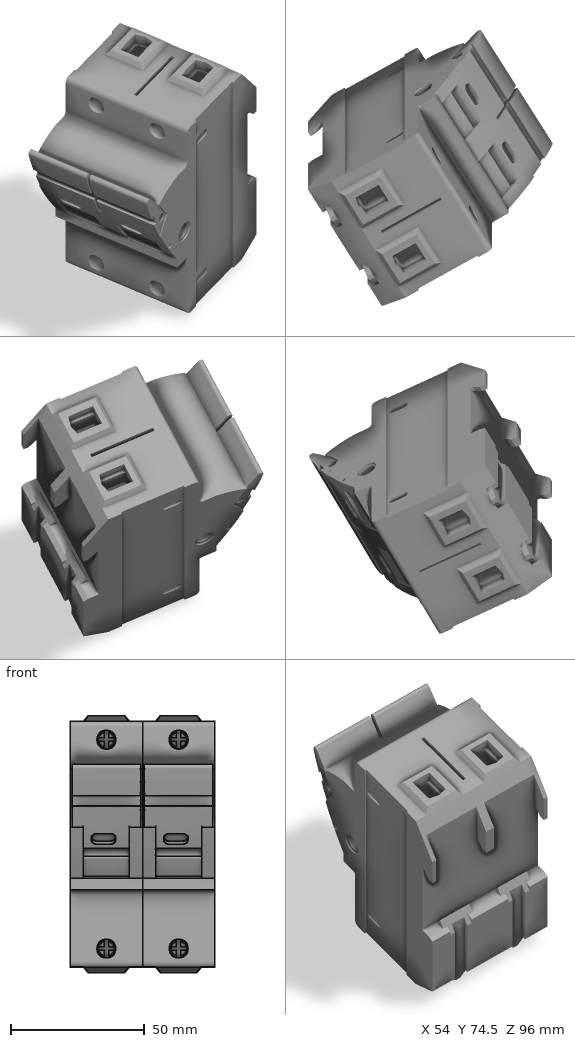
import cadquery as cq
import math


pole_width = 27.0
pole_count = 2
relief = 0.7
overall_height = 96.0
half_height = 45.9
body_depth = 47.8
corner_fillet = 2.0
relief_start, relief_end = 15.8, 41.8

rail_depth = 6.1
hook_edge = 2.0
hook_root = 5.2
hook_bottom, hook_top = 20.1, 23.1
upper_back_z, lower_back_z = 31.9, -41.0
slope_depth = 10.2
rail_floor_z = -11.9
rail_lip_z = -12.9
hook_cut_width = 23.3

nose_bottom_z = -17.1
nose_inner_fillet = 1.0
ledge_z = -12.8
dome_z = 28.1
pivot_depth, pivot_z = 49.9, -2.9
dome_radius = 31.4
front_centre_depth, front_centre_z = -49.1, 61.3
front_radius = 127.7
bore_diameter = 6.0
counterbore_diameter = 8.0
pin_hole_diameter = 2.0
pin_hole_depth = 59.8
carrier_width = 17.1
carrier_back_depth = 44.2

notch_top_depth = 67.5
notch_tip = (61.6, 14.1)
notch_arc_mid = (64.2, 10.4)
notch_bottom_z = 6.2
tip_centre = (73.3, 28.5)
tip_radius = 1.2
tip_start_angle, tip_end_angle = 144, -17
lip_arc_mid = (73.1, 23.2)
lip_points = [(71.1, 18.1), (70.2, 19.0), (69.7, 18.4), (68.4, 14.4)]
handle_low_z = 14.2
handle_hole = (64.8, 14.6)
handle_hole_diameter = 3.5
finger_z = -1.5
finger_centre_depth = pin_hole_depth
finger_diameter = 3.5
finger_rim_z = -4.5
finger_rim_bulge = 0.3
lower_face_z = -5.8
lower_face_inset = 1.0
lower_face_end_z = -12.0
window_length, window_height, window_recess = 9.1, 4.4, 2.5
window_corner_diameter = 4.0
window_offset, window_z = -1.1, 1.9

collar_depth = 19.5
collar_width, collar_length = 16.9, 18.6
collar_inset = 1.7
collar_height = overall_height / 2 - half_height
entry_depth = 19.9
entry_width, entry_length = 8.0, 10.2
entry_gable_rise = 1.0
entry_height = 4.5
clamp_slot_width = 5.8
clamp_corner_radius = 1.0
clamp_height = 7.7
screw_z = 39.0
screw_diameter = 7.0
screw_face_diameter = 6.0
screw_recess = 5.2
screw_length = 1.7
screw_bevel_height = 0.2
cross_depth = 1.0
cross_wide, cross_narrow = 1.7, 1.3
side_slot_depth, side_slot_z = 37.0, 34.32
side_slot_length, side_slot_height = 7.9, 3.1

clip_nose_width = 13.7
clip_stem_width = 9.9
clip_notch_width = 5.8
clip_peak = (4.0, -8.9)
clip_heel_depth = 5.2
clip_stem_depth = 4.1
clip_tail_z = -44.9
clip_tail_end_width = 1.9


def at(depth, z):
    """Point of a side profile: Y and Z for a depth from the rail side and a height."""
    return (-depth, z)


def side_plane():
    return cq.Workplane("YZ")


def front_depth(z, inset=0.0):
    """Depth of the curved operating front at a height."""
    radius = front_radius - inset
    return front_centre_depth + math.sqrt(radius**2 - (z - front_centre_z) ** 2)


def front_point(z, inset=0.0):
    return at(front_depth(z, inset), z)


def dome_depth(z):
    return pivot_depth + math.sqrt(dome_radius**2 - (z - pivot_z) ** 2)


def dome_point(depth):
    return at(depth, pivot_z + math.sqrt(dome_radius**2 - (depth - pivot_depth) ** 2))


def cross_bore(depth, z, diameter, length=2 * pole_width):
    return side_plane().center(*at(depth, z)).circle(diameter / 2).extrude(length / 2, both=True)


def box_between(width, depth_range, z_range):
    """Box centred on the pole, between two depths and two heights."""
    size_y = depth_range[1] - depth_range[0]
    size_z = z_range[1] - z_range[0]
    centre = (0, -sum(depth_range) / 2, sum(z_range) / 2)
    return cq.Workplane("XY").box(width, size_y, size_z).translate(centre)


def housing_shell():
    dome_start = dome_depth(dome_z)
    dome_mid = (dome_start + notch_top_depth) / 2
    front_mid_z = (ledge_z + notch_bottom_z) / 2
    shell = (
        side_plane()
        .moveTo(*at(0, upper_back_z))
        .lineTo(*at(slope_depth, half_height))
        .lineTo(*at(body_depth, half_height))
        .lineTo(*at(body_depth, dome_z))
        .lineTo(*at(dome_start, dome_z))
        .threePointArc(dome_point(dome_mid), dome_point(notch_top_depth))
        .lineTo(*at(*notch_tip))
        .threePointArc(at(*notch_arc_mid), front_point(notch_bottom_z))
        .threePointArc(front_point(front_mid_z), front_point(ledge_z))
        .lineTo(*at(front_depth(ledge_z), nose_bottom_z))
        .lineTo(*at(body_depth, nose_bottom_z))
        .lineTo(*at(body_depth, -half_height))
        .lineTo(*at(slope_depth, -half_height))
        .lineTo(*at(0, lower_back_z))
        .lineTo(*at(0, rail_lip_z))
        .lineTo(*at(hook_edge, rail_floor_z))
        .lineTo(*at(rail_depth, rail_floor_z))
        .lineTo(*at(rail_depth, hook_top))
        .lineTo(*at(hook_root, hook_top))
        .lineTo(*at(hook_edge, hook_bottom))
        .lineTo(*at(0, hook_bottom))
        .close()
        .extrude(pole_width / 2, both=True)
    )
    rounded = [(half_height, corner_fillet), (-half_height, corner_fillet),
               (dome_z, corner_fillet), (nose_bottom_z, nose_inner_fillet)]
    for z, radius in rounded:
        edge = cq.selectors.NearestToPointSelector((0, -body_depth, z))
        shell = shell.edges("|X").edges(edge).fillet(radius)
    return shell


def side_reliefs():
    side = pole_width / 2
    panel = box_between(2 * relief, (relief_start, relief_end), (-half_height, half_height))
    return panel.translate((side, 0, 0)).union(panel.translate((-side, 0, 0)))


def collar():
    """Tapered collar around a wire entry."""
    return (
        cq.Workplane("XY", origin=(0, -collar_depth, half_height))
        .rect(collar_width, collar_length)
        .workplane(offset=collar_height)
        .rect(collar_width - 2 * collar_inset, collar_length - 2 * collar_inset)
        .loft(ruled=True)
    )


def wire_entry():
    """Entry with a gabled rail-side wall, and the narrower clamp opening below it."""
    half_width, half_length = entry_width / 2, entry_length / 2
    top = cq.Workplane("XY", origin=(0, -entry_depth, half_height + collar_height))
    outline = [
        (-half_width, -half_length), (half_width, -half_length), (half_width, half_length),
        (0, half_length + entry_gable_rise), (-half_width, half_length),
    ]
    entry = top.polyline(outline).close().extrude(-entry_height)
    floor = top.workplane(offset=-entry_height)
    clamp = floor.rect(clamp_slot_width, entry_length).extrude(-clamp_height)
    return entry.union(clamp.edges("|Z").fillet(clamp_corner_radius))


def mirrored_in_z(shape):
    return shape.union(shape.mirror("XY"))


def side_slots():
    slot = (
        side_plane()
        .center(*at(side_slot_depth, side_slot_z))
        .slot2D(side_slot_length, side_slot_height)
        .extrude(pole_width / 2, both=True)
    )
    return mirrored_in_z(slot)


def screw_holes():
    hole = (
        cq.Workplane("XZ", origin=(0, -body_depth, screw_z))
        .circle(screw_diameter / 2)
        .extrude(-(screw_recess + screw_length))
    )
    return mirrored_in_z(hole)


def pivot_counterbores():
    plug = cross_bore(pivot_depth, pivot_z, counterbore_diameter)
    core = cross_bore(pivot_depth, pivot_z, counterbore_diameter, pole_width - 2 * relief)
    return plug.cut(core)


def carrier_bay():
    """Room between the two cheeks, filled by the lever's carrier."""
    return (
        side_plane()
        .polyline([
            at(carrier_back_depth, ledge_z), at(carrier_back_depth, notch_tip[1]),
            at(tip_centre[0], notch_tip[1]), at(tip_centre[0], ledge_z),
        ])
        .close()
        .extrude(carrier_width / 2, both=True)
    )


def housing():
    body = housing_shell().cut(side_reliefs())
    body = body.union(mirrored_in_z(collar())).cut(mirrored_in_z(wire_entry()))
    body = body.cut(box_between(hook_cut_width, (0, rail_depth), (hook_bottom, half_height)))
    body = body.cut(box_between(clip_stem_width, (0, clip_stem_depth), (-half_height, rail_floor_z)))
    body = body.cut(side_slots()).cut(screw_holes())
    body = body.cut(carrier_bay())
    body = body.cut(pivot_counterbores()).cut(cross_bore(pivot_depth, pivot_z, bore_diameter))
    return body.cut(cross_bore(pin_hole_depth, pivot_z, pin_hole_diameter))


def tip_point(angle):
    radians = math.radians(angle)
    return at(tip_centre[0] + tip_radius * math.cos(radians), tip_centre[1] + tip_radius * math.sin(radians))


def handle():
    """Grip that overhangs the dome and closes the notch of the housing."""
    tip_mid_angle = (tip_start_angle + tip_end_angle) / 2
    curve_mid_z = (handle_low_z + notch_bottom_z) / 2
    outline = (
        side_plane()
        .moveTo(*at(*notch_tip))
        .lineTo(*dome_point(notch_top_depth))
        .lineTo(*tip_point(tip_start_angle))
        .threePointArc(tip_point(tip_mid_angle), tip_point(tip_end_angle))
        .threePointArc(at(*lip_arc_mid), at(*lip_points[0]))
    )
    for point in lip_points[1:]:
        outline = outline.lineTo(*at(*point))
    grip = (
        outline.lineTo(*front_point(handle_low_z))
        .threePointArc(front_point(curve_mid_z), front_point(notch_bottom_z))
        .threePointArc(at(*notch_arc_mid), at(*notch_tip))
        .close()
        .extrude(pole_width / 2 - relief, both=True)
    )
    return grip.cut(cross_bore(*handle_hole, handle_hole_diameter))


def carrier():
    """Part of the lever between the cheeks, with its finger groove."""
    finger_radius = finger_diameter / 2
    finger_centre_z = finger_z - finger_radius
    rim_offset = finger_rim_z - finger_centre_z
    rim_depth = finger_centre_depth - math.sqrt(finger_radius**2 - rim_offset**2)
    upper_mid_z = (notch_bottom_z + finger_z) / 2
    lower_mid_z = (lower_face_z + lower_face_end_z) / 2
    rim_mid_z = (finger_rim_z + lower_face_z) / 2
    rim_mid_depth = front_depth(lower_face_z, lower_face_inset) + finger_rim_bulge
    return (
        side_plane()
        .moveTo(*at(carrier_back_depth, ledge_z))
        .lineTo(*at(carrier_back_depth, notch_tip[1]))
        .lineTo(*at(*notch_tip))
        .threePointArc(at(*notch_arc_mid), front_point(notch_bottom_z))
        .threePointArc(front_point(upper_mid_z), front_point(finger_z))
        .lineTo(*at(finger_centre_depth, finger_z))
        .threePointArc(
            at(finger_centre_depth - finger_radius, finger_centre_z), at(rim_depth, finger_rim_z)
        )
        .threePointArc(at(rim_mid_depth, rim_mid_z), front_point(lower_face_z, lower_face_inset))
        .threePointArc(
            front_point(lower_mid_z, lower_face_inset), front_point(lower_face_end_z, lower_face_inset)
        )
        .lineTo(*at(front_depth(lower_face_end_z, lower_face_inset), ledge_z))
        .close()
        .extrude(carrier_width / 2, both=True)
    )


def window():
    """Blind window, sunk square to the curved front."""
    centre_depth = front_depth(window_z)
    normal = (0, front_centre_depth - centre_depth, window_z - front_centre_z)
    plane = cq.Plane(origin=(window_offset, -centre_depth, window_z), xDir=(1, 0, 0), normal=normal)
    return (
        cq.Workplane(plane)
        .rect(window_length, window_height)
        .extrude(window_recess, both=True)
        .edges(cq.selectors.ParallelDirSelector(plane.zDir))
        .fillet(window_corner_diameter / 2)
    )


def lever():
    body = handle().union(carrier()).cut(window())
    return body.cut(cross_bore(pin_hole_depth, pivot_z, pin_hole_diameter))


def screw(z):
    """Terminal screw with a bevelled rim and a cross recess, sunk in its hole."""
    bevel_width = (screw_diameter - screw_face_diameter) / 2
    face = cq.Workplane("XZ", origin=(0, screw_recess - body_depth, z))
    blank = face.circle(screw_diameter / 2).extrude(-screw_length)
    blank = blank.faces("<Y").chamfer(screw_bevel_height, bevel_width)
    upright = face.rect(cross_wide, screw_diameter).extrude(-cross_depth)
    level = face.rect(screw_face_diameter, cross_narrow).extrude(-cross_depth)
    return blank.cut(upright).cut(level)


def rail_clip():
    """Spring clip: a nose above the rail floor, a stem in the channel and a pull tail."""
    nose_slope = (clip_peak[1] - rail_floor_z) / (clip_peak[0] - hook_edge)
    stem_top_z = rail_floor_z - nose_slope * hook_edge
    nose = (
        side_plane()
        .polyline([at(hook_edge, rail_floor_z), at(*clip_peak), at(clip_heel_depth, rail_floor_z)])
        .close()
        .extrude(clip_nose_width / 2, both=True)
    )
    stem = (
        side_plane()
        .polyline([
            at(0, stem_top_z), at(hook_edge, rail_floor_z),
            at(clip_stem_depth, rail_floor_z), at(clip_stem_depth, lower_back_z), at(0, lower_back_z),
        ])
        .close()
        .extrude(clip_stem_width / 2, both=True)
    )
    tail = (
        cq.Workplane("XZ", origin=(0, -hook_edge, 0))
        .polyline([
            (-clip_stem_width / 2, lower_back_z), (clip_stem_width / 2, lower_back_z),
            (clip_tail_end_width / 2, clip_tail_z), (-clip_tail_end_width / 2, clip_tail_z),
        ])
        .close()
        .extrude(clip_stem_depth - hook_edge)
    )
    notch = box_between(clip_notch_width, (0, hook_edge), (lower_back_z, rail_floor_z))
    return nose.union(stem).union(tail).cut(notch)


bodies = []
for index in range(pole_count):
    shift = ((index - (pole_count - 1) / 2) * pole_width, 0, 0)
    pole = [housing(), lever(), screw(screw_z), screw(-screw_z), rail_clip()]
    bodies += [part.translate(shift).val() for part in pole]

result = cq.Compound.makeCompound(bodies)